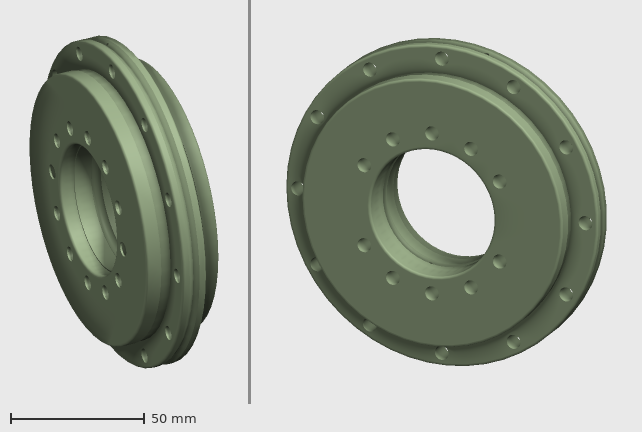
import cadquery as cq
import math

flange_radius = 63.0
width = 30.0
flange_width = 10.0
bore_radius = 25.0

hub_radius = 52.5
relief_radius = hub_radius - 0.4
hub_band_width = 6.0

front_bore_radius = bore_radius + 0.5
front_bore_depth = 6.0

edge_round = 1.0

groove_width = 4.0
rim_groove_depth = 1.3
bore_groove_depth = 1.1

hole_diameter = 5.5
recess_diameter = 5.7
recess_depth = 0.8
hole_count = 12
inner_hole_circle_radius = 31.5
outer_hole_circle_radius = 58.0

oil_hole_diameter = 2.0
oil_hole_depth = 5.0
oil_hole_overrun = 1.3
rim_oil_hole_angle = 105.0
bore_oil_hole_angle = -75.0

half_width = width / 2
half_flange = flange_width / 2
half_groove = groove_width / 2
front_y = -half_width
band_y = half_width - hub_band_width
front_bore_end_y = front_y + front_bore_depth


def ring_body():
    """Revolve the radial section (radius, y) about the Y axis."""
    section = (
        cq.Workplane("XY")
        .moveTo(front_bore_radius + edge_round, front_y)
        .lineTo(hub_radius - edge_round, front_y)
        .radiusArc((hub_radius, front_y + edge_round), -edge_round)
        .lineTo(hub_radius, -band_y)
        .lineTo(relief_radius, -band_y)
        .lineTo(relief_radius, -half_flange)
        .lineTo(flange_radius - edge_round, -half_flange)
        .radiusArc((flange_radius, -half_flange + edge_round), -edge_round)
        .lineTo(flange_radius, -half_groove)
        .lineTo(flange_radius - rim_groove_depth, 0)
        .lineTo(flange_radius, half_groove)
        .lineTo(flange_radius, half_flange - edge_round)
        .radiusArc((flange_radius - edge_round, half_flange), -edge_round)
        .lineTo(relief_radius, half_flange)
        .lineTo(relief_radius, band_y)
        .lineTo(hub_radius, band_y)
        .lineTo(hub_radius, half_width - edge_round)
        .radiusArc((hub_radius - edge_round, half_width), -edge_round)
        .lineTo(bore_radius + edge_round, half_width)
        .radiusArc((bore_radius, half_width - edge_round), -edge_round)
        .lineTo(bore_radius, half_groove)
        .threePointArc((bore_radius + bore_groove_depth, 0), (bore_radius, -half_groove))
        .lineTo(bore_radius, front_bore_end_y)
        .lineTo(front_bore_radius, front_bore_end_y)
        .lineTo(front_bore_radius, front_y + edge_round)
        .radiusArc((front_bore_radius + edge_round, front_y), -edge_round)
        .close()
    )
    return section.revolve(360, (0, 0, 0), (0, 1, 0))


def hole_circle(circle_radius, positions, diameter, depth):
    """Cylinders going in from the front face at the given positions of the twelve."""
    step = 2 * math.pi / hole_count
    centres = [
        (circle_radius * math.cos(i * step), circle_radius * math.sin(i * step))
        for i in positions
    ]
    front_plane = cq.Workplane("XZ", origin=(0, front_y, 0))
    return front_plane.pushPoints(centres).circle(diameter / 2).extrude(-depth)


def oil_hole(angle, start_radius, end_radius):
    """Radial cylinder in the mid plane, at an angle measured from +X toward +Z."""
    direction = cq.Vector(math.cos(math.radians(angle)), 0, math.sin(math.radians(angle)))
    start_plane = cq.Plane(origin=direction * start_radius, xDir=(0, 1, 0), normal=direction)
    return cq.Workplane(start_plane).circle(oil_hole_diameter / 2).extrude(end_radius - start_radius)


all_positions = range(hole_count)
recess_only_positions = [0, hole_count // 2]
through_positions = [i for i in all_positions if i not in recess_only_positions]
rim_hole_floor = flange_radius - rim_groove_depth - oil_hole_depth
bore_hole_floor = bore_radius + bore_groove_depth + oil_hole_depth

result = (
    ring_body()
    .cut(hole_circle(outer_hole_circle_radius, all_positions, hole_diameter, width))
    .cut(hole_circle(inner_hole_circle_radius, through_positions, hole_diameter, width))
    .cut(hole_circle(inner_hole_circle_radius, all_positions, recess_diameter, recess_depth))
    .cut(oil_hole(rim_oil_hole_angle, rim_hole_floor, flange_radius + oil_hole_overrun))
    .cut(oil_hole(bore_oil_hole_angle, bore_radius - oil_hole_overrun, bore_hole_floor))
)